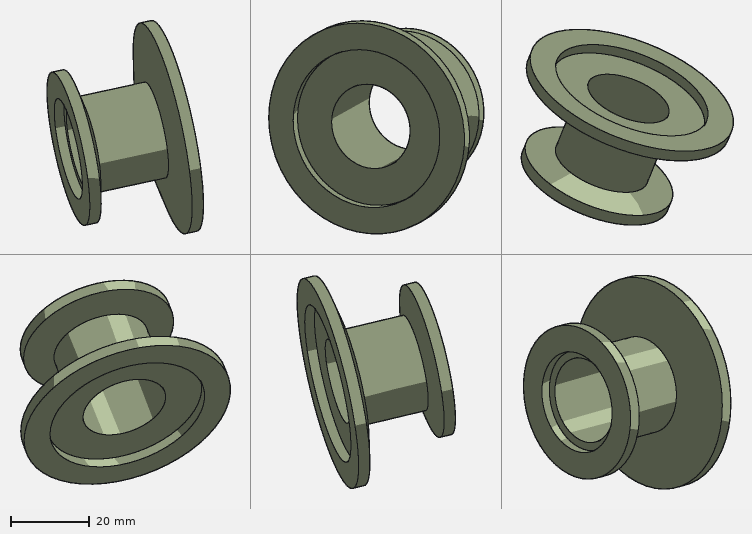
import cadquery as cq
import math

length = 28.0
large_flange_diameter = 55.0
small_flange_diameter = 40.0
tube_diameter = 25.0
bore_diameter = 22.0

rim_thickness = 3.0
clamp_angle = 15.0
large_cone_inner_diameter = 40.1

small_recess_diameter = 26.2
large_recess_diameter = 41.2
recess_depth = 2.6

small_face_y = -length / 2
large_face_y = length / 2


def cone_height(outer_diameter, inner_diameter):
    """Axial length of a clamping cone between two diameters."""
    return (outer_diameter - inner_diameter) / 2 * math.tan(math.radians(clamp_angle))


def cylinder(diameter, start_y, end_y):
    """Solid cylinder on the Y axis between two Y positions."""
    return (
        cq.Workplane("XZ", origin=(0, start_y, 0))
        .circle(diameter / 2)
        .extrude(start_y - end_y)
    )


def revolved_body():
    """Both flanges and the tube as one solid of revolution about Y."""
    small_rim_y = small_face_y + rim_thickness
    small_cone_y = small_rim_y + cone_height(small_flange_diameter, tube_diameter)
    large_rim_y = large_face_y - rim_thickness
    large_cone_y = large_rim_y - cone_height(large_flange_diameter, large_cone_inner_diameter)
    outline = [
        (0, small_face_y),
        (small_flange_diameter / 2, small_face_y),
        (small_flange_diameter / 2, small_rim_y),
        (tube_diameter / 2, small_cone_y),
        (tube_diameter / 2, large_cone_y),
        (large_cone_inner_diameter / 2, large_cone_y),
        (large_flange_diameter / 2, large_rim_y),
        (large_flange_diameter / 2, large_face_y),
        (0, large_face_y),
    ]
    return cq.Workplane("XY").polyline(outline).close().revolve(360, (0, 0, 0), (0, 1, 0))


bore = cylinder(bore_diameter, small_face_y, large_face_y)
small_recess = cylinder(small_recess_diameter, small_face_y, small_face_y + recess_depth)
large_recess = cylinder(large_recess_diameter, large_face_y - recess_depth, large_face_y)

result = revolved_body().cut(bore).cut(small_recess).cut(large_recess)